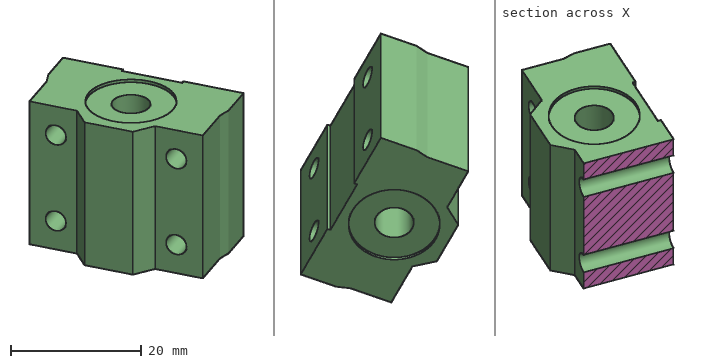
import cadquery as cq

width = 30
depth = 18
height = 25.0
back_y = depth / 2
front_y = -depth / 2

side_step = 0.6
slope_start_y = back_y - 6
slope_end_y = back_y - 8.1

nose_height = 3
nose_base_width = 13.0
nose_tip_width = 8.0
shoulder_y = front_y + nose_height

relief_width = 10.0
relief_depth = 0.5

bore_diameter = 6
recess_diameter = 14.0
recess_depth = 0.5

mount_diameter = 3.4
mount_spacing_x = 20.0
mount_spacing_z = 15


def block():
    """Extrude the symmetric outline of the block, drawn as its +X half and mirrored."""
    front_half_width = width / 2 - side_step
    half_outline = [
        (0, front_y),
        (nose_tip_width / 2, front_y),
        (nose_base_width / 2, shoulder_y),
        (front_half_width, shoulder_y),
        (front_half_width, slope_end_y),
        (width / 2, slope_start_y),
        (width / 2, back_y),
        (relief_width / 2, back_y),
        (relief_width / 2, back_y - relief_depth),
        (0, back_y - relief_depth),
    ]
    return cq.Workplane("XY").polyline(half_outline).mirrorY().extrude(height)


def shaft_bore():
    """Through bore joined with the shallow recesses at the top and bottom."""
    bore = cq.Workplane("XY").circle(bore_diameter / 2).extrude(height)
    recess = cq.Workplane("XY").circle(recess_diameter / 2).extrude(recess_depth)
    top_recess = recess.translate((0, 0, height - recess_depth))
    return bore.union(recess).union(top_recess)


def mounting_holes():
    """Rectangular pattern of through holes centred on the height of the block."""
    return (
        cq.Workplane("XZ", origin=(0, back_y, height / 2))
        .rarray(mount_spacing_x, mount_spacing_z, 2, 2)
        .circle(mount_diameter / 2)
        .extrude(depth)
    )


result = block().cut(shaft_bore()).cut(mounting_holes())